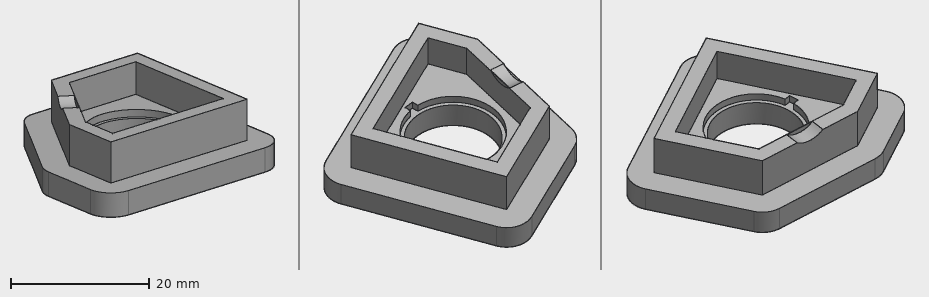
import cadquery as cq
import math

length_x = 32.12
length_y = 33.92
total_height = 10.18

flange_width = 3.95
flange_height = 3.8
wall_thickness = 2.45
floor_height = 5.12
cut_corner_x = 15.05
cut_corner_y = 9.55

hole_x = 16.85
hole_y = 18.65
hole_diameter = 14.18
recess_diameter = 15.4
recess_depth = 1.15
notch_width = 1.55
notch_reach = 8.7
notch_angle = -20.5

groove_width = 4.8
groove_depth = 0.8
groove_web = 0.07

wall_left = flange_width
wall_right = length_x - flange_width
wall_front = flange_width
wall_back = length_y - flange_width
wall_corners = [
    (wall_left, wall_back),
    (wall_right, wall_back),
    (wall_right, wall_front),
    (wall_left + cut_corner_x, wall_front),
    (wall_left, wall_front + cut_corner_y),
]


def wall_outline(base_height):
    """Five-sided outline of the raised wall at a given height."""
    return cq.Workplane("XY", origin=(0, 0, base_height)).polyline(wall_corners).close()


def make_body():
    """Flange with rounded corners, carrying a hollow raised wall."""
    flange = wall_outline(0).offset2D(flange_width, "arc").extrude(flange_height)
    block = wall_outline(0).extrude(total_height)
    pocket = (
        wall_outline(floor_height)
        .offset2D(-wall_thickness, "intersection")
        .extrude(total_height - floor_height)
    )
    return flange.union(block).cut(pocket)


def make_stepped_hole():
    """Through hole, shallow round recess and the notch beside it."""
    recess_floor = floor_height - recess_depth
    hole = cq.Workplane("XY").circle(hole_diameter / 2).extrude(floor_height)
    recess_plane = cq.Workplane("XY", origin=(0, 0, recess_floor))
    recess = recess_plane.circle(recess_diameter / 2).extrude(recess_depth)
    notch = (
        recess_plane
        .center(notch_reach / 2, 0)
        .rect(notch_reach, notch_width)
        .extrude(recess_depth)
        .rotate((0, 0, 0), (0, 0, 1), notch_angle)
    )
    return hole.union(recess).union(notch).translate((hole_x, hole_y, 0))


def make_groove():
    """Cylinder square to the slanted wall, leaving a thin web beside the pocket."""
    radius = ((groove_width / 2) ** 2 + groove_depth**2) / (2 * groove_depth)
    slant_length = math.hypot(cut_corner_x, cut_corner_y)
    inward = (cut_corner_y / slant_length, cut_corner_x / slant_length, 0)
    axis_start = (
        wall_left + cut_corner_x / 2,
        wall_front + cut_corner_y / 2,
        total_height - groove_depth + radius,
    )
    axis_plane = cq.Plane(origin=axis_start, xDir=(0, 0, 1), normal=inward)
    return cq.Workplane(axis_plane).circle(radius).extrude(wall_thickness - groove_web)


result = make_body().cut(make_stepped_hole()).cut(make_groove())